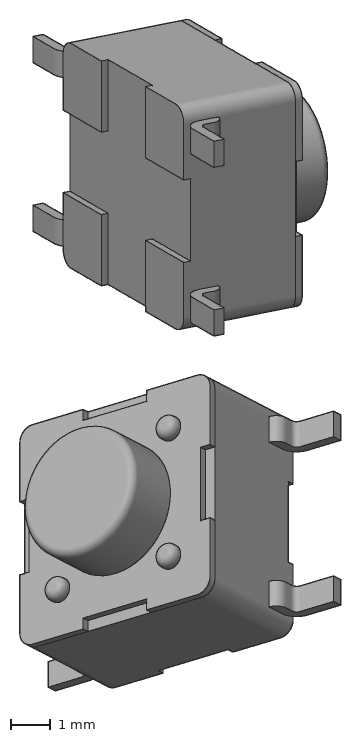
import cadquery as cq


body_size = 6.0
corner_radius = 0.4
cover_top = 3.45
cover_thickness = 0.2
housing_top = cover_top - cover_thickness
foot_height = 0.2
foot_gap = 2.2

notch_width = 2.0
notch_depth = 0.3
rivet_radius = 0.325
rivet_height = 0.3
rivet_rounding = 0.2
rivet_spacing = 3.5
button_radius = 1.75
button_rounding = 0.2
switch_height = 5.0

lead_span = 9.0
lead_thickness = 0.3
lead_width = 0.7
lead_height = 1.0
lead_inner_radius = 0.15
lead_outer_radius = lead_inner_radius + lead_thickness
lead_outer_edge = body_size / 2 - corner_radius
lead_center = lead_outer_edge - lead_width / 2


def plane_at(height):
    """Plane parallel to XZ whose normal points along +Y."""
    return cq.Workplane(cq.Plane(origin=(0, height, 0), xDir=(1, 0, 0), normal=(0, 1, 0)))


def rounded_block(bottom, top):
    """Square block with rounded corners that spans the given heights."""
    block = plane_at(bottom).rect(body_size, body_size).extrude(top - bottom)
    return block.edges("|Y").fillet(corner_radius)


def make_housing():
    """Block standing on four corner feet, left by two crossing channels."""
    channels = plane_at(0).rect(body_size, foot_gap).extrude(foot_height)
    channels = channels.union(plane_at(0).rect(foot_gap, body_size).extrude(foot_height))
    return rounded_block(0, housing_top).cut(channels)


def make_cover():
    """Plate notched in the middle of each side, carrying the rivet heads and the button."""
    cover = rounded_block(housing_top, cover_top)
    notch_center = (body_size - notch_depth) / 2
    for side in (-1, 1):
        side_notch = plane_at(housing_top).center(side * notch_center, 0).rect(notch_depth, notch_width)
        cover = cover.cut(side_notch.extrude(cover_thickness))
        end_notch = plane_at(housing_top).center(0, side * notch_center).rect(notch_width, notch_depth)
        cover = cover.cut(end_notch.extrude(cover_thickness))

    rivets = plane_at(cover_top).rect(rivet_spacing, rivet_spacing, forConstruction=True).vertices()
    rivets = rivets.circle(rivet_radius).extrude(rivet_height)
    rivets = rivets.faces(">Y").edges().fillet(rivet_rounding)

    button = plane_at(cover_top).circle(button_radius).extrude(switch_height - cover_top)
    button = button.faces(">Y").edges().fillet(button_rounding)
    return cover.union(rivets).union(button)


def make_lead(side, z_center):
    """Strip that comes out of the housing wall, runs down it and bends outward to a flat tail."""
    wall = body_size / 2
    face = wall + lead_thickness
    tail_end = lead_span / 2
    bend_x = wall + lead_outer_radius
    bend_y = lead_outer_radius
    shoulder_y = lead_height - lead_thickness
    lead = (
        cq.Workplane("XY", origin=(0, 0, z_center))
        .moveTo(tail_end, 0)
        .lineTo(tail_end, lead_thickness)
        .lineTo(bend_x, lead_thickness)
        .radiusArc((face, bend_y), lead_inner_radius)
        .lineTo(face, shoulder_y)
        .radiusArc((wall, lead_height), -lead_thickness)
        .lineTo(wall, bend_y)
        .radiusArc((bend_x, 0), -lead_outer_radius)
        .close()
        .extrude(lead_width / 2, both=True)
    )
    if side < 0:
        lead = lead.mirror("YZ")
    return lead


housing = make_housing()
cover = make_cover()
leads = [make_lead(side, row * lead_center) for side in (-1, 1) for row in (-1, 1)]

result = cq.Compound.makeCompound([housing.val(), cover.val(), *[lead.val() for lead in leads]])